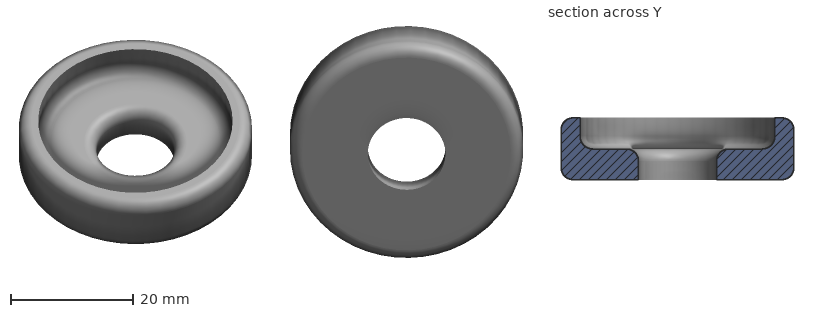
import cadquery as cq

outer_diameter = 38.1
height = 10.17
pocket_diameter = 31.75
bore_diameter = 12.7
floor_thickness = height / 2
edge_radius = 2.02

disc = (
    cq.Workplane("XY")
    .circle(outer_diameter / 2)
    .extrude(height)
    .edges()
    .fillet(edge_radius)
)

pocket = (
    cq.Workplane("XY")
    .workplane(offset=floor_thickness)
    .circle(pocket_diameter / 2)
    .extrude(height - floor_thickness)
    .faces("<Z")
    .edges()
    .fillet(edge_radius)
)


def flared_bore():
    """Through bore whose mouth at the pocket floor flares out with a convex rounding."""
    bore_radius = bore_diameter / 2
    mouth_radius = bore_radius + edge_radius
    flare_start = floor_thickness - edge_radius
    return (
        cq.Workplane("XZ")
        .lineTo(bore_radius, 0)
        .lineTo(bore_radius, flare_start)
        .radiusArc((mouth_radius, floor_thickness), edge_radius)
        .lineTo(0, floor_thickness)
        .close()
        .revolve(360, (0, 0), (0, 1))
    )


result = disc.cut(pocket).cut(flared_bore())